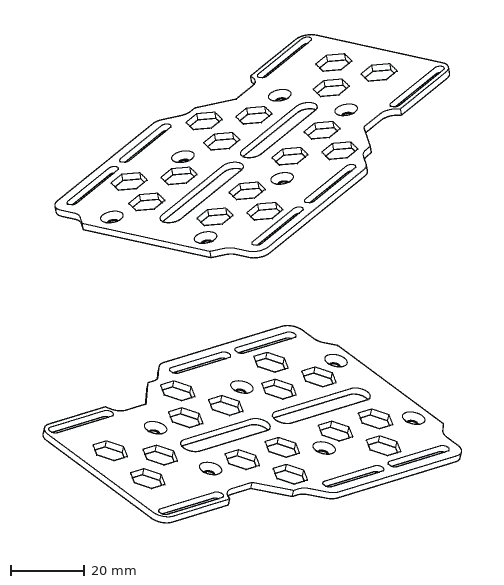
import cadquery as cq
import math

tilt_angle = 15
thickness = 2.0
overall_depth = 105.8
tilt = math.radians(tilt_angle)
length = (overall_depth - thickness * math.sin(tilt)) / math.cos(tilt)

half_width = 36
front_half_width = 21.8
neck_half_width = front_half_width
shoulder_half_width = 29.9
head_half_width = 25.6
side_front = 3.9
side_rear = 54.1
shoulder_rear = 63.8
neck_front = shoulder_rear + shoulder_half_width - neck_half_width
neck_rear = 82.2
head_front = 83.8
corner_radius = 4.0

strap_slot_width = 3.0
strap_slots = [
    (31.5, 7.3, 29.2),
    (31.5, 31.8, 53.7),
    (22.6, 84.0, 107.3),
]

center_slot_width = 6.3
center_slots = [(8.8, 43.3), (46.3, 77.8)]

hexagon_flats = 8.7
hexagon_pitch = 15.0
cluster_inner_x = 11.6
cluster_outer_x = 23.2
cluster_centers = [23.8, 58.8]
head_pair_x = 7.7
head_pair_y = 98.3
head_single_y = 86.5

screw_diameter = 3.0
countersink_diameter = 6.2
countersink_angle = 90
screw_holes = [(16.0, 5.9), (16.9, 40.4), (11.3, 78.0)]


def both_sides(points):
    """Return the points together with their mirror images across X = 0."""
    return [(side * x, y) for x, y in points for side in (-1, 1)]


def make_plate():
    """Flat plate with rounded corners along its stepped outline."""
    side_step = half_width - shoulder_half_width
    rounded_corners = [
        (front_half_width + side_front, side_front),
        (half_width, side_front),
        (half_width, side_rear),
        (shoulder_half_width, side_rear + side_step),
        (neck_half_width, neck_rear),
        (head_half_width, length),
    ]
    right_side = [
        (front_half_width, 0),
        *rounded_corners[:4],
        (shoulder_half_width, shoulder_rear),
        (neck_half_width, neck_front),
        (neck_half_width, neck_rear),
        (head_half_width, head_front),
        (head_half_width, length),
    ]
    left_side = [(-x, y) for x, y in reversed(right_side)]
    plate = cq.Workplane("XY").polyline(right_side + left_side).close().extrude(-thickness)
    for x, y in both_sides(rounded_corners):
        corner_edge = cq.selectors.NearestToPointSelector((x, y, -thickness / 2))
        plate = plate.edges("|Z").edges(corner_edge).fillet(corner_radius)
    return plate


def cut_slot(plate, x, front, rear, width):
    """Cut a round-ended slot running along the plate."""
    return (
        plate.pushPoints([(x, (front + rear) / 2)])
        .slot2D(rear - front, width, 90)
        .cutThruAll()
    )


def cut_hexagons(plate):
    """Cut the lightening hexagons of the two side clusters and the head."""
    paired = [(head_pair_x, head_pair_y)]
    for center in cluster_centers:
        paired.append((cluster_outer_x, center))
        paired.append((cluster_inner_x, center - hexagon_pitch / 2))
        paired.append((cluster_inner_x, center + hexagon_pitch / 2))
    centers = both_sides(paired) + [(0, head_single_y)]
    cutter = (
        cq.Workplane("XY")
        .polygon(6, hexagon_flats, circumscribed=True)
        .extrude(-thickness)
    )
    for x, y in centers:
        plate = plate.cut(cutter.translate((x, y, 0)))
    return plate


def top_sketch_plane(plate):
    """Put the sketch plane on the top face, keeping the flat plate's origin."""
    return plate.faces(">Z").workplane(origin=(0, 0, 0))


plate = cut_hexagons(make_plate())

for x, front, rear in strap_slots:
    for side in (-1, 1):
        plate = cut_slot(top_sketch_plane(plate), side * x, front, rear, strap_slot_width)

for front, rear in center_slots:
    plate = cut_slot(top_sketch_plane(plate), 0, front, rear, center_slot_width)

plate = (
    top_sketch_plane(plate)
    .pushPoints(both_sides(screw_holes))
    .cskHole(screw_diameter, countersink_diameter, countersink_angle)
)

result = plate.rotate((0, 0, 0), (1, 0, 0), tilt_angle)